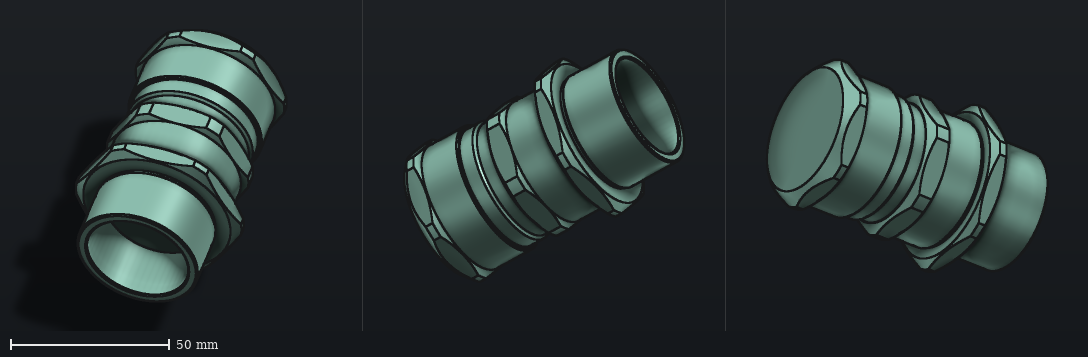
import cadquery as cq
import math


total_length = 80.35
edge_chamfer = 0.5
nut_chamfer_slope = math.tan(math.radians(30))

spigot_diameter = 40.0
undercut_diameter = 39.0
undercut_length = 1.0
bore_diameter = 33.6
bore_depth = 18.75

lock_nut_start = 20.0
lock_nut_end = 26.0
lock_nut_across_flats = 50.0
lock_nut_corner_diameter = 55.0
lock_nut_face_diameter = 49.0

neck_diameter = 41.0
neck_foot_diameter = 42.0
neck_foot_height = (neck_foot_diameter - neck_diameter) / 2
body_start = 27.0
body_diameter = 42.9

body_nut_start = 39.85
body_nut_end = 47.8
body_nut_across_flats = 43.0
body_nut_corner_diameter = 47.0
body_nut_back_diameter = 40.4

waist_diameter = 40.0
collar_start = 52.35
collar_diameter = 42.0
collar_chamfer = (collar_diameter - waist_diameter) / 2

cap_length = 22.0
cap_start = total_length - cap_length
cap_diameter = 44.4
cap_nut_length = 8.0
cap_nut_start = total_length - cap_nut_length
cap_nut_across_flats = 45.0
cap_nut_corner_diameter = 49.3
cap_end_diameter = 41.5


def revolve_profile(points):
    """Turn (diameter, y) points, closed along the axis, into a solid about Y."""
    outline = [(0, points[0][1])]
    outline += [(diameter / 2, y) for diameter, y in points]
    outline += [(0, points[-1][1])]
    return cq.Workplane("XY").polyline(outline).close().revolve(360, (0, 0, 0), (0, 1, 0))


def hex_nut(across_flats, corner_diameter, start, end, front_diameter, back_diameter, back_slope):
    """Hexagon with flats facing +Z and -Z, its corners turned down and coned at both faces."""
    front_run = (corner_diameter - front_diameter) / 2 * nut_chamfer_slope
    back_run = (corner_diameter - back_diameter) / 2 * back_slope
    turned_blank = revolve_profile([
        (front_diameter, start),
        (corner_diameter, start + front_run),
        (corner_diameter, end - back_run),
        (back_diameter, end),
    ])
    hexagon = (
        cq.Workplane("XZ", origin=(0, start, 0))
        .polygon(6, across_flats / math.cos(math.pi / 6))
        .extrude(start - end)
    )
    return hexagon.intersect(turned_blank)


def spigot():
    thread_end = lock_nut_start - undercut_length
    chamfered_diameter = spigot_diameter - 2 * edge_chamfer
    return revolve_profile([
        (chamfered_diameter, 0),
        (spigot_diameter, edge_chamfer),
        (spigot_diameter, thread_end - edge_chamfer),
        (undercut_diameter, thread_end),
        (undercut_diameter, lock_nut_start),
    ])


def lock_nut():
    return hex_nut(
        lock_nut_across_flats, lock_nut_corner_diameter, lock_nut_start, lock_nut_end,
        lock_nut_face_diameter, lock_nut_face_diameter, nut_chamfer_slope,
    )


def body():
    return revolve_profile([
        (neck_foot_diameter, lock_nut_end),
        (neck_diameter, lock_nut_end + neck_foot_height),
        (neck_diameter, body_start),
        (body_diameter, body_start),
        (body_diameter, body_nut_start),
    ])


def body_nut():
    return hex_nut(
        body_nut_across_flats, body_nut_corner_diameter, body_nut_start, body_nut_end,
        body_diameter, body_nut_back_diameter, nut_chamfer_slope,
    )


def waist_and_collar():
    return revolve_profile([
        (waist_diameter, body_nut_end),
        (waist_diameter, collar_start),
        (collar_diameter, collar_start + collar_chamfer),
        (collar_diameter, cap_start),
    ])


def cap():
    barrel = revolve_profile([
        (cap_diameter - 2 * edge_chamfer, cap_start),
        (cap_diameter, cap_start + edge_chamfer),
        (cap_diameter, cap_nut_start),
    ])
    hexagon = hex_nut(
        cap_nut_across_flats, cap_nut_corner_diameter, cap_nut_start, total_length,
        cap_diameter, cap_end_diameter, 1.0,
    )
    return barrel.union(hexagon)


def bore():
    """Blind bore with a chamfered mouth."""
    return revolve_profile([
        (bore_diameter + 2 * edge_chamfer, 0),
        (bore_diameter, edge_chamfer),
        (bore_diameter, bore_depth),
    ])


result = (
    spigot()
    .union(lock_nut())
    .union(body())
    .union(body_nut())
    .union(waist_and_collar())
    .union(cap())
    .cut(bore())
)